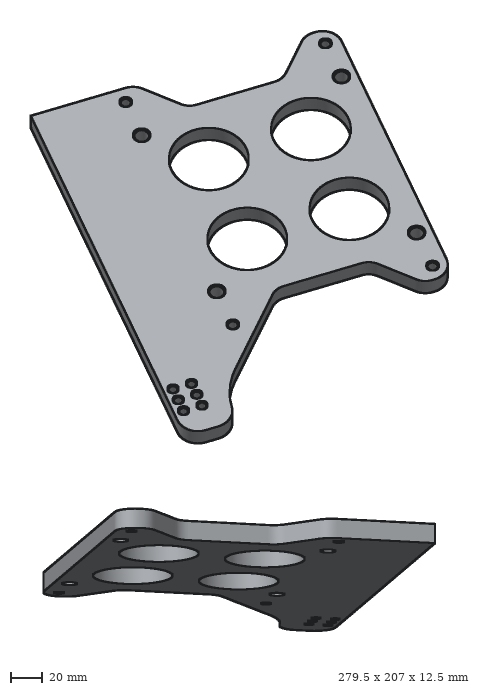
import cadquery as cq
import math

length = 279.5
width = 207.0
thickness = 12.5

center_x = 107.8
center_y = 128.65
body_width = 2 * center_x
waist_width = 158.1
waist_height = 64.3
shoulder_angle = math.radians(42.0)
ear_radius = 13.0
waist_radius = 12.5

tip_radius = 14.0
tip_upper_center_y = 22.5
arm_blend_radius = 50.0

window_diameter = 50.9
window_pitch = 69.5
bolt_diameter = 9.5
bolt_pitch = 136.0
ear_hole_diameter = 6.5
ear_hole_pitch = 194.0
tip_hole_diameter = 5.5
tip_hole_pitch_x = 9.5
tip_hole_pitch_y = 12.5
tip_holes_center = (250.0, 12.7)
hole_chamfer = 0.8


def polar(center, radius, angle):
    """Point on a circle at the given angle."""
    return (center[0] + radius * math.cos(angle), center[1] + radius * math.sin(angle))


def outline_plate():
    """Solid plate with its rounded ears, waist and arm."""
    waist_left = center_x - waist_width / 2
    waist_right = center_x + waist_width / 2
    waist_top = center_y + waist_height / 2
    waist_bottom = center_y - waist_height / 2
    shoulder_rise = waist_left * math.tan(shoulder_angle)
    ear_bottom = waist_top + shoulder_rise
    left_shoulder = waist_bottom - shoulder_rise

    tip_x = length - tip_radius
    tip_center = (tip_x, tip_upper_center_y)
    along = (math.cos(shoulder_angle), -math.sin(shoulder_angle))
    normal = (math.sin(shoulder_angle), math.cos(shoulder_angle))
    offset = (tip_x - waist_right, tip_upper_center_y - waist_bottom)
    tip_along = offset[0] * along[0] + offset[1] * along[1]
    tip_across = offset[0] * normal[0] + offset[1] * normal[1]
    center_distance = arm_blend_radius + tip_radius
    blend_along = tip_along - math.sqrt(center_distance**2 - (arm_blend_radius - tip_across)**2)
    blend_start = (waist_right + blend_along * along[0], waist_bottom + blend_along * along[1])
    blend_center = (
        blend_start[0] + arm_blend_radius * normal[0],
        blend_start[1] + arm_blend_radius * normal[1],
    )
    start_angle = -math.pi / 2 - shoulder_angle
    end_angle = math.atan2(tip_center[1] - blend_center[1], tip_center[0] - blend_center[0])
    blend_middle = polar(blend_center, arm_blend_radius, (start_angle + end_angle) / 2)
    blend_end = polar(blend_center, arm_blend_radius, end_angle)
    tip_middle = polar(tip_center, tip_radius, (end_angle + math.pi) / 2)
    lower_tip_middle = polar((tip_x, tip_radius), tip_radius, -math.pi / 4)

    plate = (
        cq.Workplane("XY")
        .lineTo(0, left_shoulder)
        .lineTo(waist_left, waist_bottom)
        .lineTo(waist_left, waist_top)
        .lineTo(0, ear_bottom)
        .lineTo(0, width)
        .lineTo(body_width, width)
        .lineTo(body_width, ear_bottom)
        .lineTo(waist_right, waist_top)
        .lineTo(waist_right, waist_bottom)
        .lineTo(*blend_start)
        .threePointArc(blend_middle, blend_end)
        .threePointArc(tip_middle, (length, tip_upper_center_y))
        .lineTo(length, tip_radius)
        .threePointArc(lower_tip_middle, (tip_x, 0))
        .close()
        .extrude(thickness)
    )
    ear_corners = [
        (0, left_shoulder),
        (0, ear_bottom),
        (0, width),
        (body_width, width),
        (body_width, ear_bottom),
    ]
    waist_corners = [
        (x, y) for x in (waist_left, waist_right) for y in (waist_bottom, waist_top)
    ]
    plate = round_corners(plate, ear_corners, ear_radius)
    return round_corners(plate, waist_corners, waist_radius)


def round_corners(plate, corners, radius):
    """Fillet the upright edge nearest each corner."""
    for x, y in corners:
        edge = cq.selectors.NearestToPointSelector((x, y, thickness / 2))
        plate = plate.edges("|Z").edges(edge).fillet(radius)
    return plate


def hole_grid(center, pitch_x, pitch_y, columns, rows, diameter):
    """Through-hole cutters on a rectangular grid."""
    return (
        cq.Workplane("XY")
        .center(*center)
        .rarray(pitch_x, pitch_y, columns, rows)
        .circle(diameter / 2)
        .extrude(thickness)
    )


def chamfered_holes(center, pitch_x, pitch_y, columns, rows, diameter):
    """Through-hole cutters that widen at the top face."""
    holes = hole_grid(center, pitch_x, pitch_y, columns, rows, diameter)
    rims = (
        cq.Workplane("XY", origin=(0, 0, thickness))
        .center(*center)
        .rarray(pitch_x, pitch_y, columns, rows)
        .circle(diameter / 2 + hole_chamfer)
        .extrude(-hole_chamfer, taper=45)
    )
    return holes.union(rims)


body_center = (center_x, center_y)
windows = hole_grid(body_center, window_pitch, window_pitch, 2, 2, window_diameter)
bolt_holes = chamfered_holes(body_center, bolt_pitch, bolt_pitch, 2, 2, bolt_diameter)
ear_holes = chamfered_holes(body_center, ear_hole_pitch, bolt_pitch, 2, 2, ear_hole_diameter)
tip_holes = chamfered_holes(
    tip_holes_center, tip_hole_pitch_x, tip_hole_pitch_y, 3, 2, tip_hole_diameter
)

result = outline_plate().cut(windows).cut(bolt_holes).cut(ear_holes).cut(tip_holes)